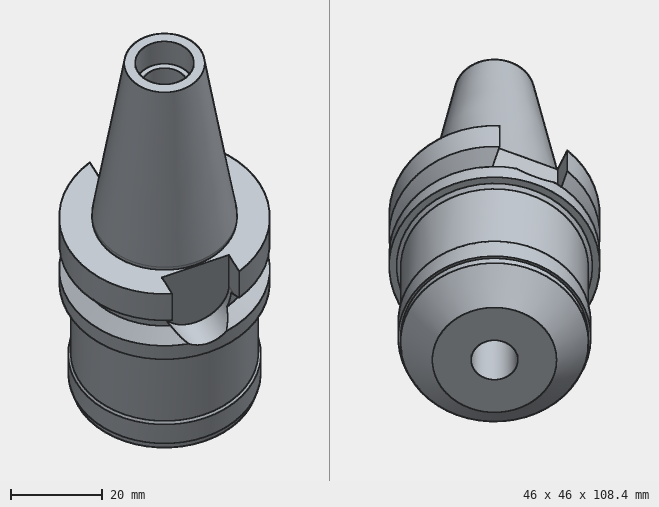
import cadquery as cq

total_height = 108.4
nose_cone_top = 7.2
ring_bottom = 9.1
ring_top = 15.2
ring_chamfer_top = 15.7
flange_underside_relief = 37.3
flange_bottom = 38.2
groove_lower_lip = 42.5
groove_floor_bottom = 44.8
groove_floor_top = 48.2
groove_upper_lip = 50.6
flange_top = 59.1
taper_base = 60.0

nose_radius = 13.5
body_radius = 20.5
ring_radius = 21.0
flange_relief_radius = 21.4
flange_radius = 23.0
groove_radius = 19.2
taper_base_radius = 15.8
taper_tip_radius = 8.8

bore_radius = 5.1
counterbore_radius = 6.4
counterbore_depth = 7.2

slot_width = 16.0
slot_floor_x = 16.2
slot_bottom = 41.1


def make_body():
    """Revolve the half outline of the holder about Z."""
    outline = [
        (0, 0),
        (nose_radius, 0),
        (body_radius, nose_cone_top),
        (body_radius, ring_bottom),
        (ring_radius, ring_bottom),
        (ring_radius, ring_top),
        (body_radius, ring_chamfer_top),
        (body_radius, flange_underside_relief),
        (flange_relief_radius, flange_bottom),
        (flange_radius, flange_bottom),
        (flange_radius, groove_lower_lip),
        (groove_radius, groove_floor_bottom),
        (groove_radius, groove_floor_top),
        (flange_radius, groove_upper_lip),
        (flange_radius, flange_top),
        (taper_base_radius, flange_top),
        (taper_base_radius, taper_base),
        (taper_tip_radius, total_height),
        (0, total_height),
    ]
    return cq.Workplane("XZ").polyline(outline).close().revolve(360, (0, 0, 0), (0, 1, 0))


def make_bore():
    """Through bore with a counterbore at the small end of the taper."""
    bore = cq.Workplane("XY").circle(bore_radius).extrude(total_height)
    counterbore = (
        cq.Workplane("XY")
        .workplane(offset=total_height - counterbore_depth)
        .circle(counterbore_radius)
        .extrude(counterbore_depth)
    )
    return bore.union(counterbore)


def make_drive_slot():
    """Round-bottomed slot on the +X side, open at the flange top and rim."""
    half_width = slot_width / 2
    arc_center_z = slot_bottom + half_width
    return (
        cq.Workplane("YZ")
        .workplane(offset=slot_floor_x)
        .moveTo(-half_width, flange_top)
        .lineTo(-half_width, arc_center_z)
        .threePointArc((0, slot_bottom), (half_width, arc_center_z))
        .lineTo(half_width, flange_top)
        .close()
        .extrude(flange_radius - slot_floor_x)
    )


result = make_body().cut(make_bore())
for angle in (0, 180):
    slot = make_drive_slot().rotate((0, 0, 0), (0, 0, 1), angle)
    result = result.cut(slot)